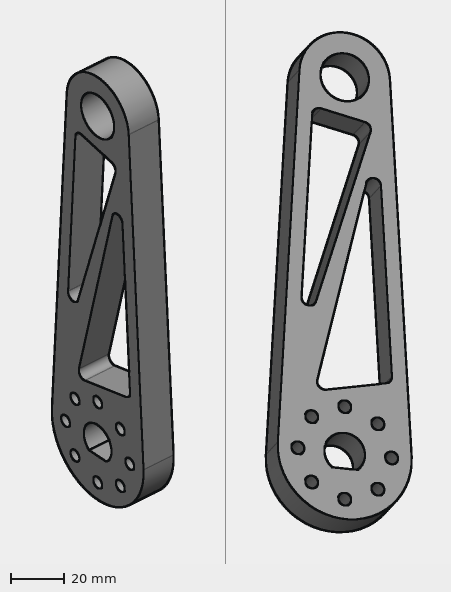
import cadquery as cq
import math

thickness = 15.0
length = 194.5
large_radius = 26.5
small_radius = 17.9
centre_distance = length - large_radius - small_radius

small_end_bore = 19.0
shaft_bore = 16.0
shaft_flat_depth = 6.2

bolt_circle_radius = 18.5
bolt_hole_diameter = 5.0
bolt_count = 8

rail_width = 6.0
window_radius = 3.0
upper_top_outer_z = 137.3
upper_top_inner = (11.0, 132.5)
upper_bottom_z = 36.4
lower_top_z = 128.2
lower_bottom_outer_z = 30.1
lower_bottom_inner = (-11.9, 23.5)

side_angle = math.asin((large_radius - small_radius) / centre_distance)


def rail_inner_x(z):
    """Half-width of the arm inside its side rails at height z."""
    outer = (large_radius - z * math.sin(side_angle)) / math.cos(side_angle)
    return outer - rail_width


def extrude_through(sketch):
    return sketch.extrude(thickness / 2, both=True)


def arm_body():
    across = math.cos(side_angle)
    rise = math.sin(side_angle)
    large_x, large_z = large_radius * across, large_radius * rise
    small_x, small_z = small_radius * across, centre_distance + small_radius * rise
    outline = (
        cq.Workplane("XZ")
        .moveTo(large_x, large_z)
        .lineTo(small_x, small_z)
        .threePointArc((0, centre_distance + small_radius), (-small_x, small_z))
        .lineTo(-large_x, large_z)
        .threePointArc((0, -large_radius), (large_x, large_z))
        .close()
    )
    return extrude_through(outline)


def window(corners):
    prism = extrude_through(cq.Workplane("XZ").polyline(corners).close())
    return prism.edges("|Y").fillet(window_radius)


def round_hole(x, z, diameter):
    return extrude_through(cq.Workplane("XZ").center(x, z).circle(diameter / 2))


def flatted_shaft_hole():
    radius = shaft_bore / 2
    half_flat = math.sqrt(radius**2 - shaft_flat_depth**2)
    outline = (
        cq.Workplane("XZ")
        .moveTo(-half_flat, -shaft_flat_depth)
        .threePointArc((0, radius), (half_flat, -shaft_flat_depth))
        .close()
    )
    return extrude_through(outline)


def bolt_holes():
    return extrude_through(
        cq.Workplane("XZ")
        .polarArray(bolt_circle_radius, 0, 360, bolt_count)
        .circle(bolt_hole_diameter / 2)
    )


upper_window = window([
    (-rail_inner_x(upper_top_outer_z), upper_top_outer_z),
    upper_top_inner,
    (-rail_inner_x(upper_bottom_z), upper_bottom_z),
])
lower_window = window([
    (rail_inner_x(lower_top_z), lower_top_z),
    (rail_inner_x(lower_bottom_outer_z), lower_bottom_outer_z),
    lower_bottom_inner,
])

result = (
    arm_body()
    .cut(upper_window)
    .cut(lower_window)
    .cut(round_hole(0, centre_distance, small_end_bore))
    .cut(flatted_shaft_hole())
    .cut(bolt_holes())
)